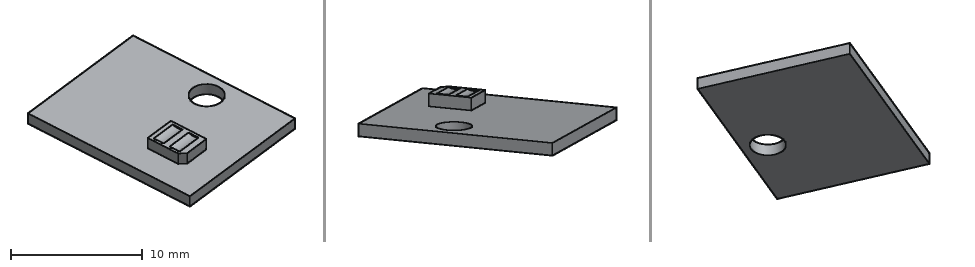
import cadquery as cq

plate_length = 16.0
plate_width = 12.5
plate_thickness = 1.0

hole_diameter = 2.75
hole_x = 9.0
hole_y = 10.4

block_length = 3.5
block_width = 2.75
block_height = plate_thickness
block_x = 9.76
block_y = 2.5
corner_bevel = 0.48

trough_count = 2
trough_width = 0.98
trough_length = 2.24
trough_depth = 0.11
trough_spacing = 1.57
first_trough_x = block_x + 0.88
trough_y = block_y + block_width / 2

top_z = plate_thickness + block_height


def make_plate():
    plate = cq.Workplane("XY").box(plate_length, plate_width, plate_thickness, centered=False)
    hole = cq.Workplane("XY").center(hole_x, hole_y).circle(hole_diameter / 2).extrude(plate_thickness)
    return plate.cut(hole)


def make_block():
    block = cq.Workplane("XY").box(block_length, block_width, block_height, centered=False)
    block = block.edges("|Z and >X and <Y").chamfer(corner_bevel)
    return block.translate((block_x, block_y, plate_thickness))


def make_trough(center_x):
    """Cutter along Y whose rounded underside forms the trough."""
    half_width = trough_width / 2
    bottom = (center_x, top_z - trough_depth)
    return (
        cq.Workplane("XZ", origin=(0, trough_y + trough_length / 2, 0))
        .moveTo(center_x - half_width, top_z)
        .threePointArc(bottom, (center_x + half_width, top_z))
        .close()
        .extrude(trough_length)
    )


result = make_plate().union(make_block())
for index in range(trough_count):
    result = result.cut(make_trough(first_trough_x + index * trough_spacing))